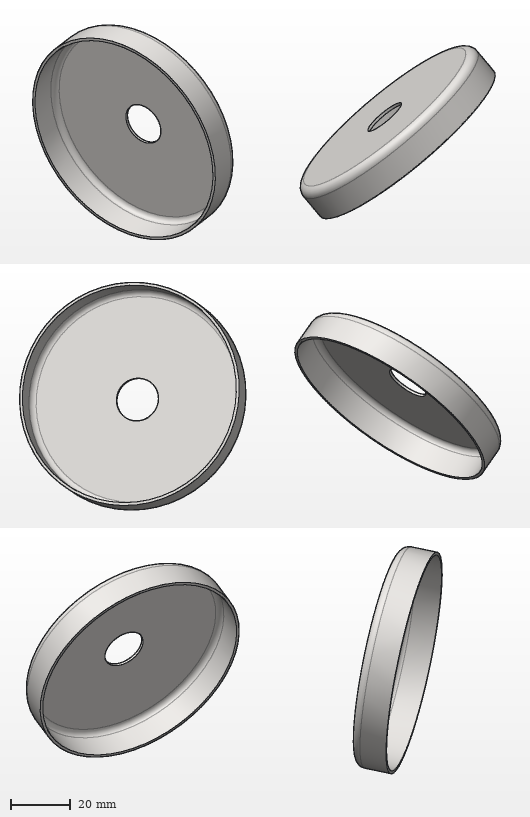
import cadquery as cq

outer_diameter = 76.0
height = 12.0
wall = 1.0
edge_radius = 3.0
hole_diameter = 14.5

outer_radius = outer_diameter / 2
inner_radius = outer_radius - wall
hole_radius = hole_diameter / 2
inner_edge_radius = edge_radius - wall
floor_inside = height - wall


def cap_profile():
    """Half section in the YZ plane: local x runs along Y, local y is the radius."""
    return (
        cq.Workplane("YZ")
        .moveTo(floor_inside, hole_radius)
        .lineTo(floor_inside, inner_radius - inner_edge_radius)
        .radiusArc((floor_inside - inner_edge_radius, inner_radius), -inner_edge_radius)
        .lineTo(0, inner_radius)
        .lineTo(0, outer_radius)
        .lineTo(height - edge_radius, outer_radius)
        .radiusArc((height, outer_radius - edge_radius), edge_radius)
        .lineTo(height, hole_radius)
        .close()
    )


result = cap_profile().revolve(360, (0, 0, 0), (1, 0, 0))